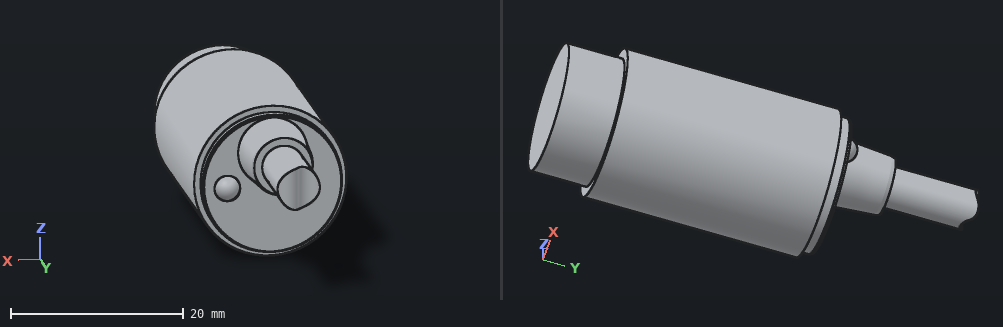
import cadquery as cq

total_length = 51.95
nose_length = 6.75
body_length = 26.05
cap_length = 1.55
grommet_length = 6.9

nose_diameter = 15.5
body_diameter = 18.0
cap_diameter = 16.5
grommet_base_diameter = 8.15
grommet_tip_diameter = 7.15
cable_diameter = 5.0

cap_bevel_axial = 0.3
cap_bevel_radial = 0.15
grommet_bevel_axial = 0.5
grommet_bevel_radial = 0.15

cable_height = 3.9

lamp_diameter = 3.0
lamp_x = 5.35
lamp_z = -0.25

break_rise = 0.7

body_front = nose_length
body_rear = body_front + body_length
cap_rear = body_rear + cap_length
grommet_rear = cap_rear + grommet_length


def revolve_about_y(profile):
    """Revolve a closed (radius, y) profile about the Y axis."""
    return cq.Workplane("XY").polyline(profile).close().revolve(360, (0, 0, 0), (0, 1, 0))


def make_housing():
    """Nose, body and bevelled cap on the body axis."""
    nose_radius = nose_diameter / 2
    body_radius = body_diameter / 2
    cap_radius = cap_diameter / 2
    return revolve_about_y([
        (0, 0),
        (nose_radius, 0),
        (nose_radius, body_front),
        (body_radius, body_front),
        (body_radius, body_rear),
        (cap_radius, body_rear),
        (cap_radius, cap_rear - cap_bevel_axial),
        (cap_radius - cap_bevel_radial, cap_rear),
        (0, cap_rear),
    ])


def make_grommet():
    """Tapered strain relief with a bevelled tip."""
    tip_radius = grommet_tip_diameter / 2
    return revolve_about_y([
        (0, cap_rear),
        (grommet_base_diameter / 2, cap_rear),
        (tip_radius, grommet_rear - grommet_bevel_axial),
        (tip_radius - grommet_bevel_radial, grommet_rear),
        (0, grommet_rear),
    ])


def make_cable():
    """Round cable whose end is cut along an S-shaped curve in the XY plane."""
    radius = cable_diameter / 2
    break_middle = total_length - break_rise
    rod = (
        cq.Workplane("XZ", origin=(0, cap_rear, 0))
        .circle(radius)
        .extrude(cap_rear - total_length)
    )
    kept_region = (
        cq.Workplane("XY")
        .moveTo(-radius, cap_rear)
        .lineTo(-radius, break_middle)
        .threePointArc((-radius / 2, break_middle - break_rise), (0, break_middle))
        .threePointArc((radius / 2, total_length), (radius, break_middle))
        .lineTo(radius, cap_rear)
        .close()
        .extrude(radius, both=True)
    )
    return rod.intersect(kept_region)


def make_lamp():
    """Sphere centred on the rear face of the cap, half of it standing proud."""
    lamp_radius = lamp_diameter / 2
    sphere = cq.Workplane("XY").sphere(lamp_radius).translate((lamp_x, cap_rear, lamp_z))
    rear_half = (
        cq.Workplane("XZ", origin=(lamp_x, cap_rear, lamp_z))
        .rect(lamp_diameter, lamp_diameter)
        .extrude(-lamp_radius)
    )
    return sphere.intersect(rear_half)


cable_assembly = make_grommet().union(make_cable()).translate((0, 0, cable_height))
result = make_housing().union(cable_assembly).union(make_lamp())